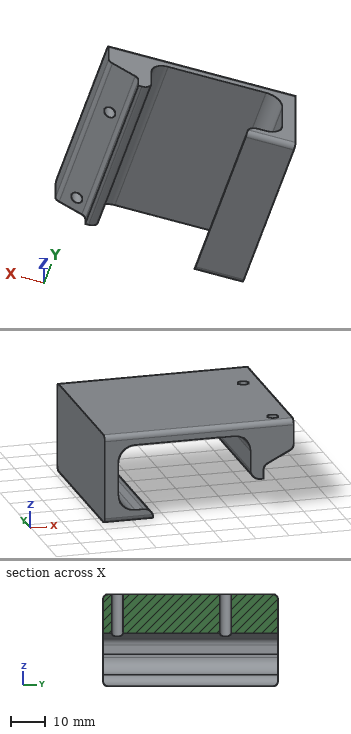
import cadquery as cq
import math

length = 56.87
width = 50.73
height = 26.74

back_wall = 4.1
top_wall = 3.55
lip_thickness = 3.4
lip_end_x = 14.65
hook_inner_x = 43.85
hook_outer_x = 47.8
hook_bottom_z = 9.35
slope_end_z = 17.95
slope_angle = 27.0

channel_radius = 5.0
hook_tip_radius = 3.0
lip_tip_radius = 3.0
hook_root_radius = 2.0
front_radius = 2.0
long_edge_radius = 1.6

hole_diameter = 3.2
hole_count = 2
hole_inset = 5.2
hole_x = length - hole_inset
hole_first_y = 4.2
hole_spacing = 31.3


def section_body():
    """Extrude the section over the full width and round its corners."""
    channel_top_z = height - top_wall
    slope_run = length - hook_outer_x
    slope_start_z = slope_end_z - slope_run * math.tan(math.radians(slope_angle))
    outline = [
        (0, 0),
        (lip_end_x, 0),
        (lip_end_x, lip_thickness),
        (back_wall, lip_thickness),
        (back_wall, channel_top_z),
        (hook_inner_x, channel_top_z),
        (hook_inner_x, hook_bottom_z),
        (hook_outer_x, hook_bottom_z),
        (hook_outer_x, slope_start_z),
        (length, slope_end_z),
        (length, height),
        (0, height),
    ]
    body = cq.Workplane("XZ").polyline(outline).close().extrude(-width)

    roundings = [
        ((lip_end_x, lip_thickness), lip_tip_radius),
        ((back_wall, lip_thickness), channel_radius),
        ((back_wall, channel_top_z), channel_radius),
        ((hook_inner_x, channel_top_z), channel_radius),
        ((hook_inner_x, hook_bottom_z), hook_tip_radius),
        ((hook_outer_x, slope_start_z), hook_root_radius),
        ((length, slope_end_z), front_radius),
    ]
    for (x, z), radius in roundings:
        corner = cq.selectors.NearestToPointSelector((x, width / 2, z))
        body = body.edges("|Y").edges(corner).fillet(radius)
    return body


def long_edge_envelope():
    """Full-size block with its four edges along X rounded."""
    block = cq.Workplane("XY").box(length, width, height, centered=False)
    return block.edges("|X").fillet(long_edge_radius)


def screw_holes():
    """Vertical cylinders for the two screw holes."""
    centers = [(hole_x, hole_first_y + i * hole_spacing) for i in range(hole_count)]
    return cq.Workplane("XY").pushPoints(centers).circle(hole_diameter / 2).extrude(height)


result = section_body().intersect(long_edge_envelope()).cut(screw_holes())